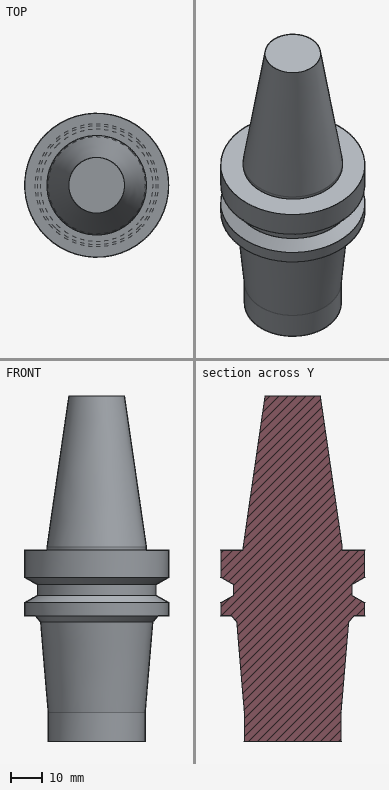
import cadquery as cq

total_height = 110.4
nose_top = 9.3
body_top = 38.2
flange_bottom = 40.2
lower_rim_top = 44.4
groove_bottom = 46.7
groove_top = 50.1
upper_rim_bottom = 52.4
flange_top = 61.2
taper_start = 62.2

nose_diameter = 31.0
body_top_diameter = 35.9
collar_diameter = 39.3
flange_diameter = 46.0
groove_diameter = 38.0
taper_large_diameter = 31.8
taper_small_diameter = 17.8

section = [
    (0, 0),
    (nose_diameter, 0),
    (nose_diameter, nose_top),
    (body_top_diameter, body_top),
    (collar_diameter, flange_bottom),
    (flange_diameter, flange_bottom),
    (flange_diameter, lower_rim_top),
    (groove_diameter, groove_bottom),
    (groove_diameter, groove_top),
    (flange_diameter, upper_rim_bottom),
    (flange_diameter, flange_top),
    (taper_large_diameter, flange_top),
    (taper_large_diameter, taper_start),
    (taper_small_diameter, total_height),
    (0, total_height),
]

result = (
    cq.Workplane("XZ")
    .polyline([(diameter / 2, height) for diameter, height in section])
    .close()
    .revolve(360, (0, 0, 0), (0, 1, 0))
)